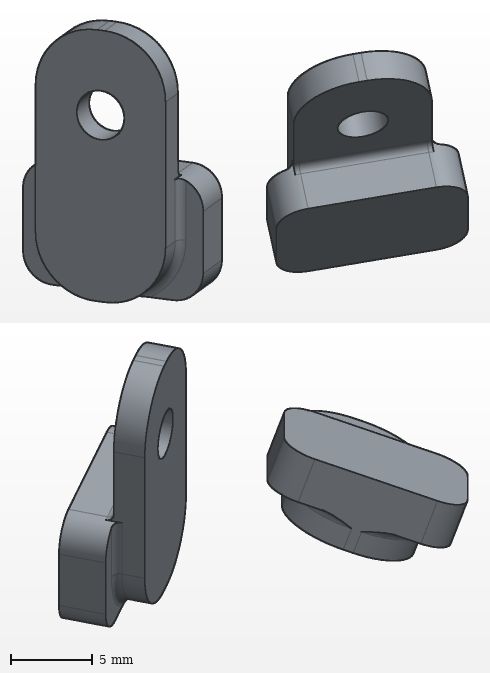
import cadquery as cq

total_height = 17.5
base_width = 12.0
base_height = 8.0
base_depth = 3.01
base_corner_radius = 2.0
plate_width = 8.66
plate_thickness = 2.0
plate_top_radius = 4.08
plate_bottom_radius = 4.0
hole_diameter = 3.15
hole_height = 12.02
fillet_radius = 0.5

helper_size = 3 * total_height


def box_on_floor(width, height, front, back):
    """Box centred on X, standing on Z = 0, between two Y positions."""
    return cq.Workplane("XY").box(width, back - front, height, centered=(True, False, False)).translate(
        (0, front, 0)
    )


def base_prism(front, back):
    """Rounded rectangular base outline extruded along Y."""
    return box_on_floor(base_width, base_height, front, back).edges("|Y").fillet(base_corner_radius)


def plate_prism(front, back):
    """Plate outline, with larger top corners, extruded along Y."""
    plate = box_on_floor(plate_width, total_height, front, back)
    plate = plate.edges("|Y and >Z").fillet(plate_top_radius)
    return plate.edges("|Y and <Z").fillet(plate_bottom_radius)


def wall(front, back):
    """Oversized slab on which a complete root fillet can be formed."""
    return cq.Workplane("XY").box(
        helper_size, back - front, helper_size, centered=(True, False, True)
    ).translate((0, front, 0))


def root_selector():
    """Box that encloses only the edges lying on the joint plane."""
    reach = helper_size / 3
    tolerance = 0.002
    return cq.selectors.BoxSelector(
        (-reach, -tolerance, -reach), (reach, tolerance, reach + tolerance), boundingbox=True
    )


base = base_prism(0, base_depth)
plate = plate_prism(-plate_thickness, 0)

front_root = wall(0, base_depth).union(plate).edges(root_selector()).fillet(fillet_radius)
front_root = front_root.intersect(base_prism(-plate_thickness, base_depth))

back_root = wall(-plate_thickness, 0).union(base).edges(root_selector()).fillet(fillet_radius)
back_root = back_root.intersect(plate_prism(-plate_thickness, base_depth))
above_base = box_on_floor(plate_width, total_height, -plate_thickness, base_depth).translate(
    (0, 0, base_height - base_corner_radius)
)
back_root = back_root.intersect(above_base)

hole = (
    cq.Workplane("XZ")
    .center(0, hole_height)
    .circle(hole_diameter / 2)
    .extrude(helper_size, both=True)
)

result = base.union(plate).union(front_root).union(back_root).cut(hole)